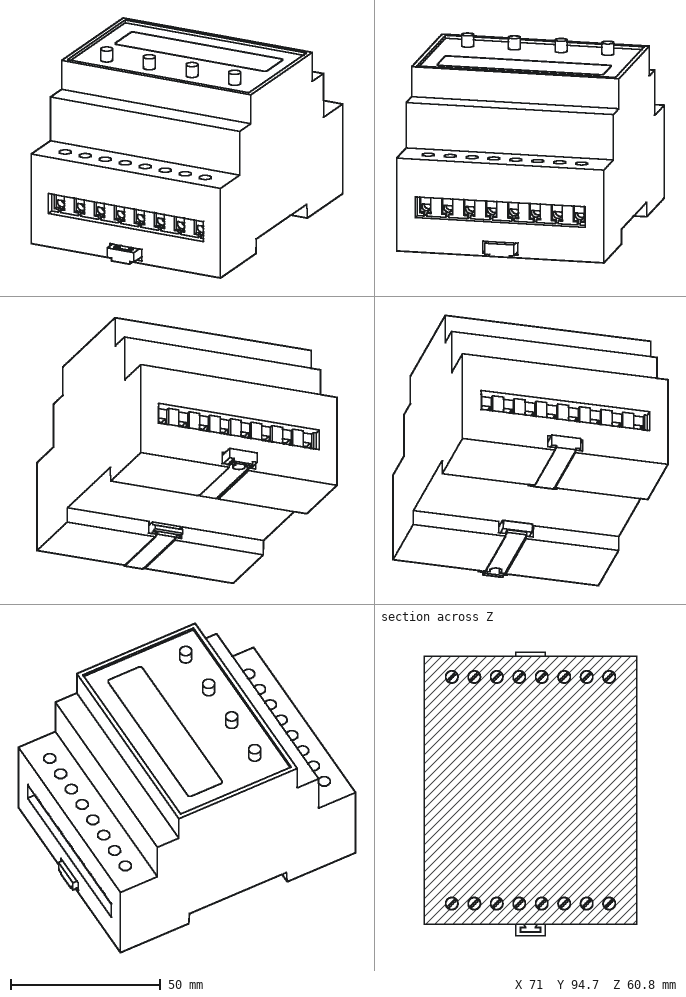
import cadquery as cq


width = 71.0
base_length = 89.4
middle_length = 61.3
top_length = 45.0
base_height = 32.0
middle_height = 47.6
body_height = 57.9

rim = 1.5
panel_depth = 1.0
display_width = 57.0
display_length = 13.0
display_x = 0.25
display_y = 8.2
display_radius = 1.0
display_depth = 0.1
button_diameter = 4.0
button_top = 60.79
button_count = 4
button_pitch = 16.0
button_row_x = 0.5
button_row_y = -12.9

terminal_count = 8
terminal_pitch = 7.5
screw_diameter = 4.0
screw_y = 37.8
screw_depth = 5.0
driver_slot_width = 0.65
driver_slot_depth = 0.7
driver_slot_angle = 45.0
pocket_width = 58.2
pocket_floor = 11.9
pocket_top = 19.0
pocket_depth = 2.65
cell_width = 3.75
cell_floor = 12.9
cell_depth = 1.5
cell_notch_width = 1.0
wire_hole_radius = 1.5
wire_hole_z = 14.85
wire_hole_top = 15.6
wire_hole_depth = 3.0

channel_height = 5.1
channel_roof_length = 36.8
channel_mouth_length = 37.4
slot_width = 12.0
slot_mouth_width = 7.0
lip_height = 1.0

slider_width = 10.0
runner_width = 6.8

clip_overhang = 3.9
clip_step_z = 1.7
clip_bottom = 0.7
clip_inner_y = -17.25
clip_tip_y = -15.6
clip_tip_z = 4.1
clip_hook_foot_y = -16.8
clip_wall = 1.4
clip_window_width = 6.6
clip_window_length = 1.4
clip_eye_radius = 2.0
clip_neck_width = 3.2

latch_overhang = 1.4
latch_top = 4.8
latch_bottom = 0.35
latch_inner_y = 17.75
latch_foot_y = 17.1
latch_tip_y = 15.4
latch_slope_top = 3.8
latch_tip_top = 2.75
latch_tip_bottom = 1.4

outer_y = base_length / 2
terminal_xs = [(i - (terminal_count - 1) / 2) * terminal_pitch for i in range(terminal_count)]


def block(size_x, y_range, z_range, x=0.0):
    """Box centred on x, spanning the given Y and Z ranges."""
    y0, y1 = y_range
    z0, z1 = z_range
    solid = cq.Workplane("XY").box(size_x, y1 - y0, z1 - z0, centered=(True, False, False))
    return solid.translate((x, y0, z0))


def side_prism(outline, size_x):
    """Y-Z outline extruded to size_x, centred on X = 0."""
    return cq.Workplane("YZ").polyline(outline).close().extrude(size_x / 2, both=True)


def stepped_body():
    half_middle = middle_length / 2
    half_top = top_length / 2
    half_mouth = channel_mouth_length / 2
    half_roof = channel_roof_length / 2
    right_half = [
        (half_roof, channel_height),
        (half_mouth, 0),
        (outer_y, 0),
        (outer_y, base_height),
        (half_middle, base_height),
        (half_middle, middle_height),
        (half_top, middle_height),
        (half_top, body_height),
    ]
    left_half = [(-y, z) for y, z in reversed(right_half)]
    return side_prism(right_half + left_half, width)


def front_panel_recess():
    panel_z = body_height - panel_depth
    panel = block(
        width - 2 * rim,
        (-top_length / 2 + rim, top_length / 2 - rim),
        (panel_z, body_height),
    )
    display = (
        block(
            display_width,
            (display_y - display_length / 2, display_y + display_length / 2),
            (panel_z - display_depth, body_height),
            display_x,
        )
        .edges("|Z")
        .fillet(display_radius)
    )
    return panel.union(display)


def buttons():
    panel_z = body_height - panel_depth
    return (
        cq.Workplane("XY", origin=(button_row_x, button_row_y, panel_z))
        .rarray(button_pitch, 1, button_count, 1)
        .circle(button_diameter / 2)
        .extrude(button_top - panel_z)
    )


def screw_well(x, y):
    """Round well down to a screw head, with the driver slot cut into the head."""
    head_z = base_height - screw_depth
    well = cq.Workplane("XY", origin=(x, y, head_z)).circle(screw_diameter / 2).extrude(screw_depth)
    slot_blank = (
        cq.Workplane("XY", origin=(x, y, head_z - driver_slot_depth))
        .circle(screw_diameter / 2)
        .extrude(driver_slot_depth)
    )
    slot_bar = (
        cq.Workplane("XY")
        .box(screw_diameter, driver_slot_width, driver_slot_depth, centered=(True, True, False))
        .rotate((0, 0, 0), (0, 0, 1), driver_slot_angle)
        .translate((x, y, head_z - driver_slot_depth))
    )
    return well.union(slot_blank.intersect(slot_bar))


def wire_entry(x):
    """Cell behind the -Y pocket with its bottom notch and flat-topped wire hole."""
    cell_front = -outer_y + pocket_depth
    cell_back = cell_front + cell_depth
    cell = block(cell_width, (cell_front, cell_back), (cell_floor, pocket_top), x)
    notch = block(cell_notch_width, (cell_front, cell_back), (pocket_floor, cell_floor), x)
    hole = (
        cq.Workplane("XZ", origin=(x, cell_back, wire_hole_z))
        .circle(wire_hole_radius)
        .extrude(-wire_hole_depth)
    )
    below_flat = block(
        cell_width,
        (cell_back, cell_back + wire_hole_depth),
        (pocket_floor, wire_hole_top),
        x,
    )
    return cell.union(notch).union(hole.intersect(below_flat))


def terminal_row():
    """All the cuts for the terminals on the -Y side."""
    row = block(pocket_width, (-outer_y, -outer_y + pocket_depth), (pocket_floor, pocket_top))
    for x in terminal_xs:
        row = row.union(wire_entry(x))
    return row


def latch_slot():
    """T-slot running through both feet of the housing."""
    y_range = (-outer_y, outer_y)
    slot = block(slot_width, y_range, (lip_height, channel_height))
    mouth = block(slot_mouth_width, y_range, (0, lip_height))
    return slot.union(mouth)


def clip():
    """Hooked clip with a keyhole-shaped opening behind its finger bar."""
    front_y = -outer_y - clip_overhang
    outline = [
        (front_y, channel_height),
        (clip_inner_y, channel_height),
        (clip_inner_y, clip_tip_z),
        (clip_tip_y, clip_tip_z),
        (clip_hook_foot_y, clip_step_z),
        (front_y, clip_step_z),
    ]
    slider = side_prism(outline, slider_width)
    runner = block(runner_width, (front_y, clip_inner_y), (clip_bottom, clip_step_z))

    window_back = front_y + clip_wall + clip_window_length
    neck_reach = (clip_eye_radius**2 - (clip_neck_width / 2) ** 2) ** 0.5
    z_range = (clip_bottom, channel_height)
    window = block(clip_window_width, (front_y + clip_wall, window_back), z_range)
    eye = (
        cq.Workplane("XY", origin=(0, window_back + neck_reach, clip_bottom))
        .circle(clip_eye_radius)
        .extrude(channel_height - clip_bottom)
    )
    eye_behind_window = eye.intersect(block(slider_width, (window_back, clip_inner_y), z_range))
    return slider.union(runner).cut(window).cut(eye_behind_window)


def make_housing():
    body = stepped_body().cut(front_panel_recess()).union(buttons())
    for x in terminal_xs:
        for y in (-screw_y, screw_y):
            body = body.cut(screw_well(x, y))
    near_row = terminal_row()
    far_row = near_row.mirror("XZ")
    return body.cut(near_row).cut(far_row).cut(latch_slot()).union(clip())


def make_latch():
    back_y = outer_y + latch_overhang
    outline = [
        (back_y, latch_top),
        (latch_inner_y, latch_top),
        (latch_inner_y, latch_slope_top),
        (latch_tip_y, latch_tip_top),
        (latch_tip_y, latch_tip_bottom),
        (latch_foot_y, latch_tip_bottom),
        (latch_foot_y, lip_height),
        (back_y, lip_height),
    ]
    slider = side_prism(outline, slider_width)
    runner = block(runner_width, (latch_foot_y, back_y), (latch_bottom, lip_height))
    return slider.union(runner)


housing = make_housing()
latch = make_latch()

result = cq.Compound.makeCompound([housing.val(), latch.val()])